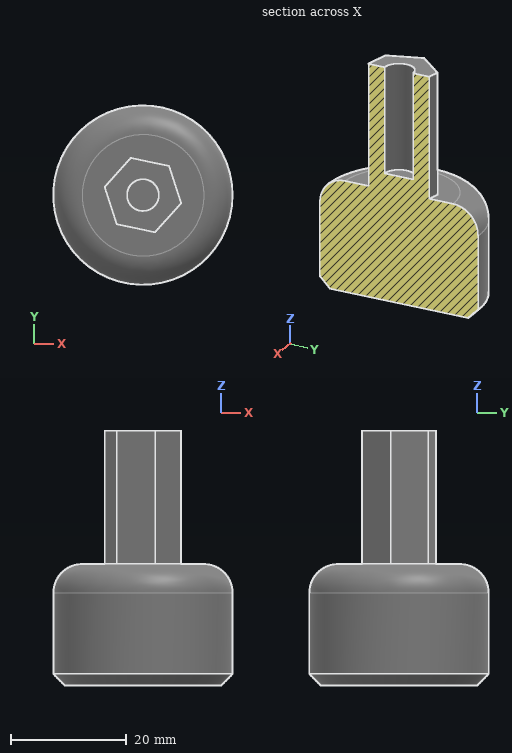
import cadquery as cq

foot_diameter = 31.0
foot_height = 21.0
top_fillet = 5.0
bottom_chamfer = 2.0

stem_height = 23.0
stem_across_corners = 13.5
stem_rotation = -12.0

hole_diameter = 5.5
hole_depth = 20.0


def make_foot():
    """Cylinder with a rounded upper rim and a chamfered lower rim."""
    foot = cq.Workplane("XY").circle(foot_diameter / 2).extrude(foot_height)
    foot = foot.faces(">Z").edges().fillet(top_fillet)
    return foot.faces("<Z").edges().chamfer(bottom_chamfer)


def make_stem():
    """Hexagonal bar standing on the top face of the foot."""
    return (
        cq.Workplane("XY", origin=(0, 0, foot_height))
        .polygon(6, stem_across_corners)
        .extrude(stem_height)
        .rotate((0, 0, 0), (0, 0, 1), stem_rotation)
    )


def make_hole():
    """Cutter for the flat-bottomed hole along the stem axis."""
    stem_top = foot_height + stem_height
    return (
        cq.Workplane("XY", origin=(0, 0, stem_top - hole_depth))
        .circle(hole_diameter / 2)
        .extrude(hole_depth)
    )


result = make_foot().union(make_stem()).cut(make_hole())